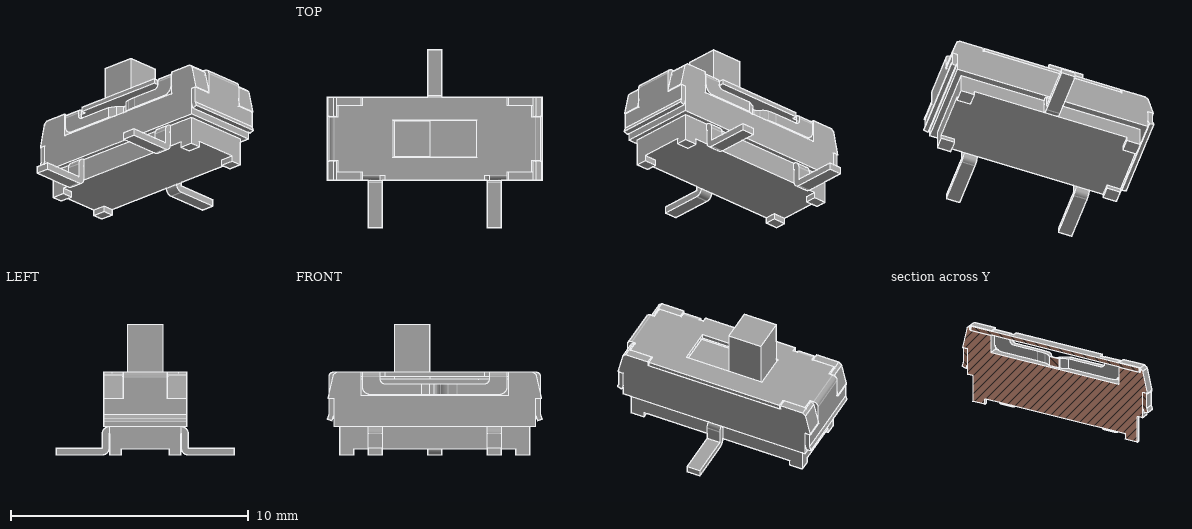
import cadquery as cq
import math


SHEET = 0.2
FIT = 0.05

HOUSING_LENGTH = 8.5
HOUSING_WIDTH = 3.5
HOUSING_BOTTOM = 1.2
SHELL_TOP = 3.5
RIM_TOP = SHELL_TOP - SHEET
FLOOR_TOP = 3.2
FLOOR_REAR = 0.79

BASE_LENGTH = 8.0
BASE_WIDTH = 3.0
BASE_CHANNEL_DEPTH = 0.25
FOOT_LENGTH = 0.6
FOOT_WIDTH = 0.5

WINDOW_LENGTH = 6.2
WINDOW_BOTTOM = 2.5
WINDOW_INNER = -1.0

CORNER_BOTTOM = 2.38
CORNER_TOE = 4.5
CORNER_SHOULDER = 4.27
CORNER_CHAMFER_RISE = 0.12
CORNER_TOP_END = 4.136
CORNER_INNER = 0.94
CORNER_LEDGE = 1.4

TERMINAL_WIDTH = 0.6
TERMINAL_THICKNESS = 0.3
TERMINAL_BEND = 0.3
TERMINAL_INNER = 1.515
TERMINAL_TIP = 3.75
TERMINAL_ROOT = 1.4
FRONT_TERMINAL_X = 2.5

END_SHEET = 0.21
END_TAB_WIDTH = 1.84
LIP_TOP = 1.7
LIP_ANGLE = 19
LIP_FLARE = 0.065
PLATE_SHOULDER = 4.08

SKIRT_BEND = 0.2
SKIRT_CORNER = 0.35
SLOT_HALF_LENGTH = 2.3
SLOT_BOTTOM = 3.0
SLOT_CORNER = 0.2

DETENT_LEFT = -0.56
DETENT_KINK = (-0.23, 0.16)
DETENT_CREST_LEFT = (-0.04, 0.37)
DETENT_CREST_RIGHT = (0.05, 0.37)
DETENT_HOLLOW_MIDDLE = (0.17, 0.325)
DETENT_FLANK = (0.25, 0.23)
DETENT_SHOULDER_MIDDLE = (0.37, 0.1)
DETENT_SHOULDER = (0.56, 0.03)
DETENT_RIGHT = 0.94

OPENING_LENGTH = 3.53
OPENING_WIDTH = 1.55
KNOB_SIZE = 1.5
KNOB_X = -0.95
KNOB_TOP = 5.5
FLANGE_LENGTH = 5.6
FLANGE_WIDTH = 2 * FLOOR_REAR
FLANGE_THICKNESS = 0.5

HALF_LENGTH = HOUSING_LENGTH / 2
FRONT = -HOUSING_WIDTH / 2
REAR = HOUSING_WIDTH / 2
SKIRT_HALF_LENGTH = WINDOW_LENGTH / 2 - FIT
SKIRT_BOTTOM = WINDOW_BOTTOM + FIT
SKIRT_BACK = FRONT + SHEET
TONGUE_HALF_LENGTH = SLOT_HALF_LENGTH - SKIRT_BEND


def block(x_range, y_range, z_range):
    """Box given by its limits along each axis."""
    (x0, x1), (y0, y1), (z0, z1) = x_range, y_range, z_range
    return cq.Workplane("XY").box(x1 - x0, y1 - y0, z1 - z0, centered=False).translate((x0, y0, z0))


def centred_block(length, width, z_range, x=0):
    """Box centred on Y = 0 and on the given X."""
    return block((x - length / 2, x + length / 2), (-width / 2, width / 2), z_range)


def slider_flange():
    return centred_block(FLANGE_LENGTH, FLANGE_WIDTH, (FLOOR_TOP - FLANGE_THICKNESS, FLOOR_TOP), KNOB_X)


def corner_block():
    """Block at the +X, +Y corner: L-shaped around the plate, with a sloped outer end."""
    end_profile = [
        (WINDOW_LENGTH / 2, CORNER_BOTTOM),
        (CORNER_TOE, CORNER_BOTTOM),
        (CORNER_SHOULDER, SHELL_TOP - CORNER_CHAMFER_RISE),
        (CORNER_TOP_END, SHELL_TOP),
        (WINDOW_LENGTH / 2, SHELL_TOP),
    ]
    solid = cq.Workplane("XZ", origin=(0, REAR, 0)).polyline(end_profile).close()
    solid = solid.extrude(REAR - CORNER_INNER)
    plate_room = block((0, CORNER_TOP_END), (0, CORNER_LEDGE), (RIM_TOP, SHELL_TOP))
    inner_room = block((0, HALF_LENGTH), (0, CORNER_LEDGE), (CORNER_BOTTOM, RIM_TOP))
    return solid.cut(plate_room).cut(inner_room)


def base():
    """Narrow lower block standing on four corner feet."""
    solid = centred_block(BASE_LENGTH, BASE_WIDTH, (0, HOUSING_BOTTOM))
    channel = (0, BASE_CHANNEL_DEPTH)
    lengthwise = centred_block(BASE_LENGTH, BASE_WIDTH - 2 * FOOT_WIDTH, channel)
    crosswise = centred_block(BASE_LENGTH - 2 * FOOT_LENGTH, BASE_WIDTH, channel)
    return solid.cut(lengthwise).cut(crosswise)


def terminal(x):
    """Gull-wing terminal on the +Y side: out of the base, down, and outward along the board."""
    outer = TERMINAL_INNER + TERMINAL_THICKNESS
    bend_point = TERMINAL_BEND * math.sqrt(0.5)
    top_centre = (outer - TERMINAL_BEND, HOUSING_BOTTOM - TERMINAL_BEND)
    heel_centre = (TERMINAL_INNER + TERMINAL_BEND, TERMINAL_BEND)
    return (
        cq.Workplane("YZ", origin=(x - TERMINAL_WIDTH / 2, 0, 0))
        .moveTo(TERMINAL_ROOT, HOUSING_BOTTOM)
        .lineTo(top_centre[0], HOUSING_BOTTOM)
        .threePointArc((top_centre[0] + bend_point, top_centre[1] + bend_point), (outer, top_centre[1]))
        .lineTo(outer, TERMINAL_THICKNESS)
        .lineTo(TERMINAL_TIP, TERMINAL_THICKNESS)
        .lineTo(TERMINAL_TIP, 0)
        .lineTo(heel_centre[0], 0)
        .threePointArc(
            (heel_centre[0] - bend_point, heel_centre[1] - bend_point), (TERMINAL_INNER, heel_centre[1])
        )
        .lineTo(TERMINAL_INNER, top_centre[1])
        .lineTo(TERMINAL_ROOT, top_centre[1])
        .close()
        .extrude(TERMINAL_WIDTH)
    )


def make_housing():
    solid = centred_block(HOUSING_LENGTH, HOUSING_WIDTH, (HOUSING_BOTTOM, RIM_TOP))
    corner = corner_block()
    front_corner = corner.mirror("XZ")
    for piece in (corner, front_corner):
        solid = solid.union(piece).union(piece.mirror("YZ"))

    half_window = WINDOW_LENGTH / 2
    window = block((-half_window, half_window), (FRONT, WINDOW_INNER), (WINDOW_BOTTOM, SHELL_TOP))
    floor = block((-half_window, half_window), (FRONT, FLOOR_REAR), (FLOOR_TOP, RIM_TOP))
    solid = solid.cut(window).cut(floor).cut(slider_flange())

    solid = solid.union(base()).union(terminal(0))
    for side in (-1, 1):
        solid = solid.union(terminal(side * FRONT_TERMINAL_X).mirror("XZ"))
    return solid


def shell_plate():
    """Top plate, stepped in beside the corner blocks and notched beside the skirt legs."""
    z_range = (RIM_TOP, SHELL_TOP)
    plate = centred_block(2 * PLATE_SHOULDER, 2 * CORNER_LEDGE, z_range)
    plate = plate.union(centred_block(HOUSING_LENGTH, END_TAB_WIDTH, z_range))
    half_skirt = SKIRT_HALF_LENGTH
    plate = plate.union(block((-half_skirt, half_skirt), (SKIRT_BACK, REAR), z_range))
    plate = plate.union(block((-TONGUE_HALF_LENGTH, TONGUE_HALF_LENGTH), (FRONT, SKIRT_BACK), z_range))
    return plate.cut(centred_block(OPENING_LENGTH, OPENING_WIDTH, z_range))


def end_wall():
    """Wall folded down over the +X end, with a lip flared outward along its lower edge."""
    outer = HALF_LENGTH + END_SHEET
    tilt = math.radians(LIP_ANGLE)
    lip_x = outer + LIP_FLARE
    lip_z = LIP_TOP - LIP_FLARE / math.tan(tilt)
    inner_kink_z = LIP_TOP - END_SHEET * math.tan(tilt / 2)
    bend_z = SHELL_TOP - END_SHEET
    bend_point = END_SHEET * math.sqrt(0.5)
    wall = (
        cq.Workplane("XZ", origin=(0, REAR, 0))
        .moveTo(HALF_LENGTH, SHELL_TOP)
        .threePointArc((HALF_LENGTH + bend_point, bend_z + bend_point), (outer, bend_z))
        .lineTo(outer, LIP_TOP)
        .lineTo(lip_x, lip_z)
        .lineTo(lip_x - END_SHEET * math.cos(tilt), lip_z - END_SHEET * math.sin(tilt))
        .lineTo(HALF_LENGTH, inner_kink_z)
        .close()
        .extrude(HOUSING_WIDTH)
    )
    for side in (-1, 1):
        y_range = sorted((side * END_TAB_WIDTH / 2, side * REAR))
        wall = wall.cut(block((HALF_LENGTH, lip_x), y_range, (CORNER_BOTTOM, SHELL_TOP)))
    return wall


def skirt_strip():
    """Straight strip with a detent pressed inward near its middle, extruded up to the shell top."""

    def front(point):
        x, depth = point
        return x, FRONT + depth

    def back(point):
        x, depth = point
        return x, SKIRT_BACK + depth

    left = (-SKIRT_HALF_LENGTH, 0)
    right = (SKIRT_HALF_LENGTH, 0)
    detent_left = (DETENT_LEFT, 0)
    detent_right = (DETENT_RIGHT, 0)
    return (
        cq.Workplane("XY", origin=(0, 0, SKIRT_BOTTOM))
        .moveTo(*front(left))
        .lineTo(*front(detent_left))
        .lineTo(*front(DETENT_KINK))
        .lineTo(*front(DETENT_CREST_LEFT))
        .lineTo(*front(DETENT_CREST_RIGHT))
        .threePointArc(front(DETENT_HOLLOW_MIDDLE), front(DETENT_FLANK))
        .threePointArc(front(DETENT_SHOULDER_MIDDLE), front(DETENT_SHOULDER))
        .lineTo(*front(detent_right))
        .lineTo(*front(right))
        .lineTo(*back(right))
        .lineTo(*back(detent_right))
        .lineTo(*back(DETENT_SHOULDER))
        .threePointArc(back(DETENT_SHOULDER_MIDDLE), back(DETENT_FLANK))
        .threePointArc(back(DETENT_HOLLOW_MIDDLE), back(DETENT_CREST_RIGHT))
        .lineTo(*back(DETENT_CREST_LEFT))
        .lineTo(*back(DETENT_KINK))
        .lineTo(*back(detent_left))
        .lineTo(*back(left))
        .close()
        .extrude(SHELL_TOP - SKIRT_BOTTOM)
    )


def skirt():
    """Front skirt: two legs bent down from the plate and joined below the slot by the strip."""
    half_skirt = SKIRT_HALF_LENGTH
    outline = block((-half_skirt, half_skirt), (FRONT, WINDOW_INNER), (SKIRT_BOTTOM, SHELL_TOP))
    outline = outline.edges("|Y and <Z").fillet(SKIRT_CORNER)
    outline = outline.edges("|X and <Y and >Z").fillet(SKIRT_BEND)
    solid = skirt_strip().intersect(outline)
    slot_x = (-SLOT_HALF_LENGTH, SLOT_HALF_LENGTH)
    slot = block(slot_x, (FRONT, WINDOW_INNER), (SLOT_BOTTOM, SHELL_TOP))
    slot = slot.edges("|Y and <Z").fillet(SLOT_CORNER)
    return solid.cut(slot)


def make_shell():
    wall = end_wall()
    solid = shell_plate().union(wall).union(wall.mirror("YZ"))
    return solid.union(skirt())


def make_slider():
    knob = centred_block(KNOB_SIZE, KNOB_SIZE, (FLOOR_TOP, KNOB_TOP), KNOB_X)
    return slider_flange().union(knob)


housing = make_housing()
shell = make_shell()
slider = make_slider()

result = cq.Compound.makeCompound([housing.val(), shell.val(), slider.val()])